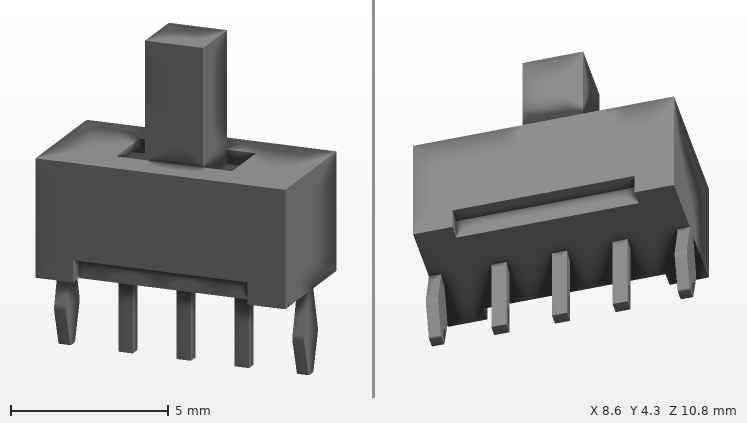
import cadquery as cq

HOUSING_LENGTH = 8.6
HOUSING_WIDTH = 4.3
HOUSING_HEIGHT = 4.0

TOTAL_HEIGHT = 10.8
SLIDER_SIZE = 2.0
SLOT_LENGTH = 2 * SLIDER_SIZE
SLOT_DEPTH = 0.49

LIP_THICKNESS = 0.26
LIP_OVERHANG = 0.5

NOTCH_LENGTH = 6.0
NOTCH_HEIGHT = 0.75
NOTCH_DEPTH = 0.5

PIN_COUNT = 3
PIN_PITCH = SLIDER_SIZE
PIN_WIDTH = 0.5
PIN_THICKNESS = 0.38

BLADE_THICKNESS = 0.4
BLADE_NECK_WIDTH = 0.4
BLADE_TIP_WIDTH = BLADE_NECK_WIDTH
BLADE_WIDEST = 3 * BLADE_NECK_WIDTH
BLADE_WIDEST_DROP = 1.5
BLADE_SIDE_RADIUS = 0.5
BLADE_TIP_RADIUS = 0.1

SLIDER_TOP = 2 * HOUSING_HEIGHT
LEG_LENGTH = TOTAL_HEIGHT - SLIDER_TOP
SLOT_FLOOR = HOUSING_HEIGHT - SLOT_DEPTH

UPWARD = (True, True, False)


def make_shell():
    """Block with the undercut slot in its top and a notch under each long side."""
    shell = cq.Workplane("XY").box(HOUSING_LENGTH, HOUSING_WIDTH, HOUSING_HEIGHT, centered=UPWARD)
    slot = (
        cq.Workplane("XY")
        .workplane(offset=SLOT_FLOOR)
        .box(SLOT_LENGTH, SLIDER_SIZE, SLOT_DEPTH, centered=UPWARD)
    )
    undercut = (
        cq.Workplane("XY")
        .workplane(offset=SLOT_FLOOR)
        .box(SLOT_LENGTH + 2 * LIP_OVERHANG, SLIDER_SIZE, SLOT_DEPTH - LIP_THICKNESS, centered=UPWARD)
    )
    shell = shell.cut(slot).cut(undercut)
    notch_y = (HOUSING_WIDTH - NOTCH_DEPTH) / 2
    for side in (-1, 1):
        notch = cq.Workplane("XY").box(NOTCH_LENGTH, NOTCH_DEPTH, NOTCH_HEIGHT, centered=UPWARD)
        shell = shell.cut(notch.translate((0, side * notch_y, 0)))
    return shell


def make_pin(x):
    """Straight contact pin hanging from the underside."""
    pin = cq.Workplane("XY").box(PIN_WIDTH, PIN_THICKNESS, LEG_LENGTH, centered=UPWARD)
    return pin.translate((x, 0, -LEG_LENGTH))


def make_blade(x):
    """Diamond-shaped mounting blade with rounded sides and tip corners."""
    outline = [
        (-BLADE_NECK_WIDTH / 2, 0),
        (-BLADE_WIDEST / 2, -BLADE_WIDEST_DROP),
        (-BLADE_TIP_WIDTH / 2, -LEG_LENGTH),
        (BLADE_TIP_WIDTH / 2, -LEG_LENGTH),
        (BLADE_WIDEST / 2, -BLADE_WIDEST_DROP),
        (BLADE_NECK_WIDTH / 2, 0),
    ]
    blade = cq.Workplane("YZ").polyline(outline).close().extrude(BLADE_THICKNESS / 2, both=True)
    blade = blade.edges("|X").edges("<Y or >Y").fillet(BLADE_SIDE_RADIUS)
    blade = blade.faces("<Z").edges("|X").fillet(BLADE_TIP_RADIUS)
    return blade.translate((x, 0, 0))


def make_housing():
    """Shell joined with its contact pins and mounting blades."""
    housing = make_shell()
    for index in range(PIN_COUNT):
        housing = housing.union(make_pin((index - (PIN_COUNT - 1) / 2) * PIN_PITCH))
    blade_x = (HOUSING_LENGTH - BLADE_THICKNESS) / 2
    for side in (-1, 1):
        housing = housing.union(make_blade(side * blade_x))
    return housing


def make_slider():
    """Square lever standing on the slot floor, midway along the slot."""
    return (
        cq.Workplane("XY")
        .workplane(offset=SLOT_FLOOR)
        .box(SLIDER_SIZE, SLIDER_SIZE, SLIDER_TOP - SLOT_FLOOR, centered=UPWARD)
    )


housing = make_housing()
slider = make_slider()

result = cq.Compound.makeCompound([housing.solids().val(), slider.val()])